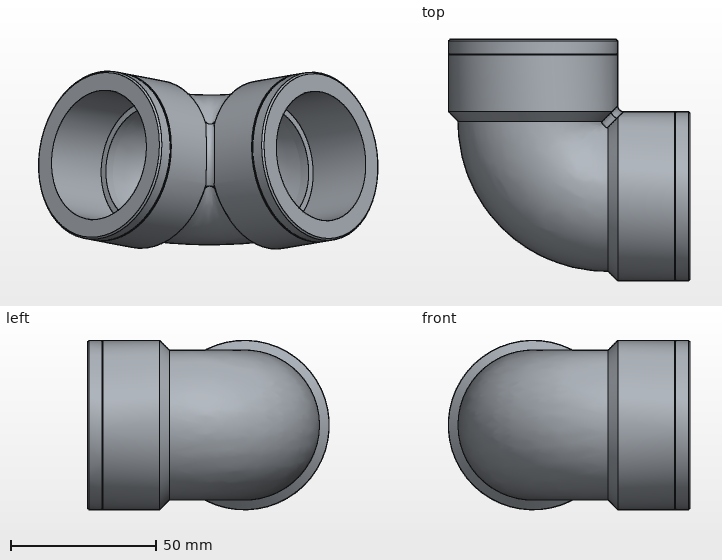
import cadquery as cq
import math

overall_length = 83.15
socket_diameter = 58.3
tube_diameter = 51.6
bend_radius = 25.5
shoulder_rise = (socket_diameter - tube_diameter) / 2

socket_radius = socket_diameter / 2
tube_radius = tube_diameter / 2
mouth_position = overall_length - socket_radius

shoulder_start = tube_radius
shoulder_end = shoulder_start + shoulder_rise

mouth_chamfer = 0.6
band_width = 5.0
groove_width = 0.35
groove_depth = 0.35

socket_bore_diameter = 44.84
flow_bore_diameter = 40.36

throat_radius = 2.0
throat_half_width = 1.4

diagonal_plane = cq.Plane(origin=(0, 0, 0), xDir=(1, 1, 0), normal=(1, -1, 0))


def outer_leg():
    """Solid leg along +X with shoulder, socket, groove and chamfered mouth."""
    groove_end = mouth_position - band_width
    groove_start = groove_end - groove_width
    groove_bottom = socket_radius - groove_depth
    return (
        cq.Workplane("XY")
        .moveTo(bend_radius, 0)
        .lineTo(bend_radius, tube_radius)
        .lineTo(shoulder_start, tube_radius)
        .lineTo(shoulder_end, socket_radius)
        .lineTo(groove_start, socket_radius)
        .lineTo(groove_start, groove_bottom)
        .lineTo(groove_end, groove_bottom)
        .lineTo(groove_end, socket_radius)
        .lineTo(mouth_position - mouth_chamfer, socket_radius)
        .lineTo(mouth_position, socket_radius - mouth_chamfer)
        .lineTo(mouth_position, 0)
        .close()
        .revolve(360, (0, 0, 0), (1, 0, 0))
    )


def on_other_leg(leg):
    """Turn a leg along +X half a turn about the diagonal, onto +Y."""
    return leg.rotate((0, 0, 0), (1, 1, 0), 180)


def outer_bend():
    """Quarter bend; its section is cut off at the bend axis, which lies just inside the tube."""
    half_chord = math.sqrt(tube_radius**2 - bend_radius**2)
    return (
        cq.Workplane("YZ", origin=(bend_radius, 0, 0))
        .moveTo(bend_radius, -half_chord)
        .threePointArc((-tube_radius, 0), (bend_radius, half_chord))
        .close()
        .revolve(90, (bend_radius, 0, 0), (bend_radius, -1, 0))
    )


def ball_centre(along, reach):
    """Place on the diagonal plane that is `along` both legs and `reach` from either leg axis."""
    return along * math.sqrt(2), math.sqrt(reach**2 - along**2)


def below(point):
    """Mirror image of a diagonal-plane point in the plane of the leg axes."""
    return point[0], -point[1]


def on_diagonal(point):
    """Space vector of a diagonal-plane point."""
    return diagonal_plane.toWorldCoords(point)


def straight_track(start, end):
    """Cylinder swept by the ball along a line, run on past both ends by the ball radius."""
    span = on_diagonal(end) - on_diagonal(start)
    direction = span.normalized()
    base = on_diagonal(start) - direction * throat_radius
    length = span.Length + 2 * throat_radius
    return cq.Solid.makeCylinder(throat_radius, length, base, direction)


def round_track(corner, middle):
    """Ring swept by the ball around the circle through the corner, its mirror and the middle."""
    depth = middle[0] - corner[0]
    ring_radius = (corner[1] ** 2 + depth**2) / (2 * depth)
    centre = on_diagonal((middle[0] - ring_radius, 0))
    return cq.Solid.makeTorus(ring_radius, throat_radius, centre, diagonal_plane.zDir)


def throat_blend():
    """Web on the diagonal plane, hollowed by a ball rolling in the valley between the legs.

    The ball rolls outward between the shoulders, round between the sockets, and back
    between the shoulders on the lower side.
    """
    rolling_radius = socket_radius + throat_radius
    shoulder_lift = throat_radius * math.sqrt(2)
    inner_along = shoulder_start - throat_radius / math.sqrt(2)
    inner = ball_centre(inner_along, inner_along + shoulder_lift)
    corner = ball_centre(rolling_radius - shoulder_lift, rolling_radius)
    middle = ball_centre(rolling_radius, rolling_radius)

    return (
        cq.Workplane(diagonal_plane)
        .moveTo(*inner)
        .lineTo(*corner)
        .threePointArc(middle, below(corner))
        .lineTo(*below(inner))
        .close()
        .extrude(throat_half_width, both=True)
        .cut(cq.Workplane(round_track(corner, middle)))
        .cut(cq.Workplane(straight_track(inner, corner)))
        .cut(cq.Workplane(straight_track(below(inner), below(corner))))
    )


def flow_bore():
    """Socket bores in both legs joined by a narrower bore through the bend."""
    socket_bore = (
        cq.Workplane("YZ", origin=(shoulder_end, 0, 0))
        .circle(socket_bore_diameter / 2)
        .extrude(mouth_position - shoulder_end)
    )
    link = (
        cq.Workplane("YZ", origin=(bend_radius, 0, 0))
        .circle(flow_bore_diameter / 2)
        .extrude(shoulder_end - bend_radius)
    )
    bend = (
        cq.Workplane("YZ", origin=(bend_radius, 0, 0))
        .circle(flow_bore_diameter / 2)
        .revolve(90, (bend_radius, 0, 0), (bend_radius, -1, 0))
    )
    leg_bore = link.union(socket_bore)
    return bend.union(leg_bore).union(on_other_leg(leg_bore))


leg = outer_leg()
elbow = outer_bend().union(leg).union(on_other_leg(leg))
result = elbow.union(throat_blend()).cut(flow_bore())